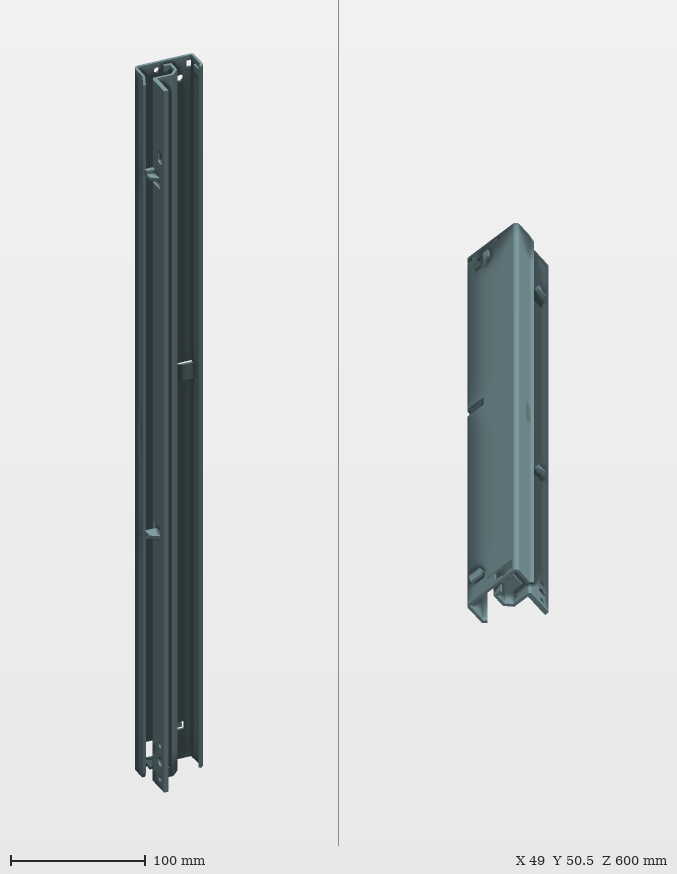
import cadquery as cq
import math

THICKNESS = 2.1
WIDTH = 49.0
DEPTH = 50.5
TOP_Z = 600.0
RAIL_Z = 0.5
MARGIN = 3.0

WALL_X = 5.7
WALL_INNER_X = WALL_X + THICKNESS
FLOOR_Y = 1.5
WEB_X = 29.5
FLANGE_Y = 6.5
FLANGE_THICKNESS = 3.5
FLANGE_TOP_Y = FLANGE_Y + FLANGE_THICKNESS
FLANGE_BEND_RADIUS = 2.5
FLOOR_LIP_X = 22.0
FLOOR_LIP_LENGTH = 3.0
FLOOR_LIP_DROP = 0.9
ROOF_END_X = 24.0
ROOF_LIP = 3.0
FLOOR_BEND_RADIUS = 3.5
ROOF_BEND_RADIUS = 2.5
HOOK_Y = 29.5
HOOK_X = 12.5
HOOK_TIP_Y = 23.0
HOOK_BEVEL = 6.0


def block(x0, x1, y0, y1, z0, z1):
    """Axis-aligned box between two opposite corners."""
    return cq.Workplane("XY").box(x1 - x0, y1 - y0, z1 - z0, centered=False).translate((x0, y0, z0))


def prism(points, z0, z1):
    """XY polygon extruded from z0 to z1."""
    return cq.Workplane("XY").workplane(offset=z0).polyline(points).close().extrude(z1 - z0)


def mitre_point(before, corner, after):
    """Corner of a bent strip's inner face, to the left of the outer path."""
    angle_in = math.atan2(corner[1] - before[1], corner[0] - before[0])
    angle_out = math.atan2(after[1] - corner[1], after[0] - corner[0])
    half_turn = math.remainder(angle_out - angle_in, 2 * math.pi) / 2
    normal = angle_in + half_turn + math.pi / 2
    reach = THICKNESS / math.cos(half_turn)
    return (corner[0] + reach * math.cos(normal), corner[1] + reach * math.sin(normal))


def bent_strip(path):
    """Full-length sheet whose right-hand face follows the path, thickened to the left."""
    extended = [tuple(2 * a - b for a, b in zip(path[0], path[1]))] + path
    extended.append(tuple(2 * a - b for a, b in zip(path[-1], path[-2])))
    inner = [mitre_point(*extended[i:i + 3]) for i in range(len(path))]
    return prism(path + inner[::-1], RAIL_Z, TOP_Z)


def round_upright_edge(body, x, y, radius):
    """Fillet the full-length edge nearest to (x, y)."""
    middle = (x, y, (RAIL_Z + TOP_Z) / 2)
    return body.edges("|Z").edges(cq.selectors.NearestToPointSelector(middle)).fillet(radius)


END_BEVEL_X = 3.5
END_BEVEL_Z = 5.5

EMBOSS_START_X = 17.0
EMBOSS_Z = (270.0, 284.5, 301.0, 315.5)
EMBOSS_DEPTH = 0.5

ROUND_HOLES = [(20.0, 593.5, 2.5), (39.0, 582.0, 3.0)]
END_NOTCH_Y = 44.5
END_NOTCH_Z = (590.0, 596.0)
END_TAB_X = (15.0, 25.0)
END_TAB_Y = 47.0

CLIP_WINDOW_Y = 33.5
CLIP_WINDOW_Z = (326.0, 339.0)
CLIP_X = 9.5
CLIP_BEND_Y = 38.5

UPPER_LANCE_Y = (24.5, 29.5, 35.0)
UPPER_LANCE_Z = (562.0, 573.0)
LANCE_RECESS_Y = (36.0, 42.5)
LANCE_RECESS_Z = (564.5, 570.5)
RECESS_DEPTH = 1.0
LOWER_LANCE_Y = (32.5, 42.5)
LOWER_LANCE_Z = (34.0, 33.0, 29.5, 25.0)
LOWER_TIP_X = 2.0

SHELF_Y = (8.5, 18.5)
SHELF_END_X = 20.5
SHELF_Z = 7.0
SHELF_WINDOW_Y = (6.0, 23.0)
SHELF_WINDOW_TOP = 21.5
SLIT_END_Y = 30.5
SLIT_HEIGHT = 2.0
GUSSET_WIDTH = 7.0
GUSSET_HEIGHT = 4.0
GUSSET_DEPTH = 1.0
GUSSET_REACH = 3.0

NIB_X = (8.0, 9.5)


def outer_sheet():
    """Roof with a lip, wall, and floor with its free edge turned outward."""
    path = [
        (ROOF_END_X + ROOF_LIP, DEPTH - ROOF_LIP),
        (ROOF_END_X, DEPTH),
        (WALL_X, DEPTH),
        (WALL_X, FLOOR_Y),
        (FLOOR_LIP_X, FLOOR_Y),
        (FLOOR_LIP_X + FLOOR_LIP_LENGTH, FLOOR_Y - FLOOR_LIP_DROP),
    ]
    body = bent_strip(path)
    bends = [
        (FLOOR_Y, FLOOR_Y + THICKNESS, FLOOR_BEND_RADIUS),
        (DEPTH, DEPTH - THICKNESS, ROOF_BEND_RADIUS),
    ]
    for outer_y, inner_y, radius in bends:
        body = round_upright_edge(body, WALL_X, outer_y, radius)
        body = round_upright_edge(body, WALL_INNER_X, inner_y, radius - THICKNESS)
    for z in (RAIL_Z, TOP_Z):
        body = body.cut(floor_corner(z))
    return body


def floor_corner(z):
    """Triangular prism that bevels the free corner of the floor at one end."""
    edge_x = FLOOR_LIP_X + FLOOR_LIP_LENGTH + MARGIN
    slope = END_BEVEL_Z / END_BEVEL_X
    inward = math.copysign(1, TOP_Z / 2 - z)
    outline = [
        (edge_x - MARGIN - END_BEVEL_X, z),
        (edge_x, z),
        (edge_x, z + inward * (END_BEVEL_X + MARGIN) * slope),
    ]
    plane = cq.Workplane("XZ", origin=(0, FLANGE_Y, 0))
    return plane.polyline(outline).close().extrude(FLANGE_Y)


def floor_emboss():
    """Shallow dent in the floor with a ramp at each end."""
    outline = list(zip((0, EMBOSS_DEPTH, EMBOSS_DEPTH, 0), EMBOSS_Z))
    length = FLOOR_LIP_X - EMBOSS_START_X
    plane = cq.Workplane("YZ", origin=(EMBOSS_START_X, FLOOR_Y, 0))
    return plane.polyline(outline).close().extrude(length)


def cut_wall(body, y0, y1, z0, z1):
    """Rectangular window through the main wall."""
    return body.cut(block(WALL_X - MARGIN, WALL_INNER_X, y0, y1, z0, z1))


def add_upper_end(body):
    """Round wall holes, and the notched corner with a thickened roof patch."""
    for y, z, radius in ROUND_HOLES:
        plane = cq.Workplane("YZ", origin=(WALL_X, y, z))
        body = body.cut(plane.circle(radius).extrude(THICKNESS))
    body = cut_wall(body, END_NOTCH_Y, DEPTH, *END_NOTCH_Z)
    return body.union(block(*END_TAB_X, END_TAB_Y, DEPTH - THICKNESS, *END_NOTCH_Z))


def add_clip(body):
    """Strip of the wall pressed inward below the roof at mid length."""
    z0, z1 = CLIP_WINDOW_Z
    body = body.cut(block(WALL_X, CLIP_X, CLIP_WINDOW_Y, DEPTH, z0, z1))
    outline = [
        (CLIP_X, DEPTH),
        (CLIP_X, CLIP_BEND_Y),
        (WALL_X, CLIP_WINDOW_Y),
        (WALL_INNER_X, CLIP_WINDOW_Y),
        (CLIP_X + THICKNESS, CLIP_BEND_Y),
        (CLIP_X + THICKNESS, DEPTH),
    ]
    return body.union(prism(outline, z0, z1))


def add_upper_lance(body):
    """Hook pushed out of the wall toward the floor, beside a shallow recess."""
    tip, corner, root = UPPER_LANCE_Y
    outline = [
        (WALL_X, root),
        (0, corner),
        (0, tip),
        (THICKNESS, tip),
        (THICKNESS, corner - THICKNESS),
        (WALL_X, root - 2 * THICKNESS),
    ]
    recess = block(WALL_X, WALL_X + RECESS_DEPTH, *LANCE_RECESS_Y, *LANCE_RECESS_Z)
    return body.cut(recess).union(prism(outline, *UPPER_LANCE_Z))


def add_lower_lance(body):
    """Hook pushed out of the wall and pointing down, above the window it leaves."""
    root, corner, bend, tip = LOWER_LANCE_Z
    outline = [
        (WALL_X, root),
        (0, corner),
        (0, bend),
        (LOWER_TIP_X, tip),
        (LOWER_TIP_X + THICKNESS, tip),
        (THICKNESS, bend),
        (THICKNESS, corner - THICKNESS),
        (WALL_X, root - THICKNESS),
    ]
    y0, y1 = LOWER_LANCE_Y
    plane = cq.Workplane("XZ", origin=(0, y1, 0))
    hook = plane.polyline(outline).close().extrude(y1 - y0)
    return cut_wall(body, y0, y1, tip, root - THICKNESS).union(hook)


def add_shelf(body):
    """Window near the lower end, with a gusseted shelf bent inward from its sill."""
    body = cut_wall(body, *SHELF_WINDOW_Y, SHELF_Z, SHELF_WINDOW_TOP)
    body = cut_wall(body, SHELF_WINDOW_Y[1], SLIT_END_Y, SHELF_WINDOW_TOP - SLIT_HEIGHT, SHELF_WINDOW_TOP)
    body = body.union(block(WALL_X, SHELF_END_X, *SHELF_Y, SHELF_Z - THICKNESS, SHELF_Z))
    middle_y = sum(SHELF_Y) / 2
    left_y = middle_y - GUSSET_WIDTH / 2
    right_y = middle_y + GUSSET_WIDTH / 2
    dent_outline = [(left_y, SHELF_Z), (right_y, SHELF_Z), (middle_y, SHELF_Z - GUSSET_HEIGHT)]
    plane = cq.Workplane("YZ", origin=(WALL_X, 0, 0))
    dent = plane.polyline(dent_outline).close().extrude(GUSSET_DEPTH)
    rib_tip_x = WALL_INNER_X + GUSSET_REACH
    rib_outline = [(WALL_INNER_X, left_y), (rib_tip_x, middle_y), (WALL_INNER_X, right_y)]
    return body.cut(dent).union(prism(rib_outline, SHELF_Z, SHELF_Z + GUSSET_DEPTH))


def make_outer_profile():
    body = outer_sheet().cut(floor_emboss())
    body = add_upper_end(body)
    body = add_clip(body)
    body = add_upper_lance(body)
    body = add_lower_lance(body)
    body = add_shelf(body)
    return body.union(block(*NIB_X, DEPTH - THICKNESS, DEPTH, 0, RAIL_Z))


FLANGE_HOLE_X = 42.0
FLANGE_HOLES = [(38.0, 2.5), (23.5, 3.5), (9.0, 2.5)]
OBLONG_Z = 539.5
OBLONG_WIDTH = 7.0
OBLONG_HEIGHT = 10.0
OBLONG_CORNER = 2.5
SLOT_END_X = 42.0
SLOT_HEIGHT = 7.0
UPPER_SLOT_Z = 512.5
LOWER_SLOT_Z = 216.0
STOP_THICKNESS = 2.5
STOP_FOOT_X = 38.0
STOP_RIB_X = 33.0
STOP_RIB_HEIGHT = 3.0


def flange_openings():
    plane = cq.Workplane("XZ", origin=(FLANGE_HOLE_X, FLANGE_Y - MARGIN, 0))
    reach = -(FLANGE_THICKNESS + 2 * MARGIN)
    oblong = plane.center(0, OBLONG_Z).rect(OBLONG_WIDTH, OBLONG_HEIGHT).extrude(reach)
    cutters = oblong.edges("|Y").fillet(OBLONG_CORNER)
    for height, radius in FLANGE_HOLES:
        cutters = cutters.add(plane.center(0, height).circle(radius).extrude(reach))
    for z in (UPPER_SLOT_Z, LOWER_SLOT_Z):
        slot = block(WEB_X, SLOT_END_X, FLANGE_Y, FLANGE_TOP_Y, z, z + SLOT_HEIGHT)
        cutters = cutters.add(slot)
    return cutters.combine()


def stop_tab(slot_edge_z, direction):
    """Tapered tab under the flange beside a slot, stiffened by a rib on its far side."""
    outer_z = slot_edge_z + direction * STOP_THICKNESS
    rib_z = outer_z + direction * STOP_RIB_HEIGHT
    outline = [(WEB_X, FLANGE_Y), (SLOT_END_X, FLANGE_Y), (STOP_FOOT_X, 0), (WEB_X, 0)]
    tab = prism(outline, min(slot_edge_z, outer_z), max(slot_edge_z, outer_z))
    return tab.union(block(WEB_X, STOP_RIB_X, 0, FLANGE_Y, min(outer_z, rib_z), max(outer_z, rib_z)))


WEB_HOLE_Y = (18.5, 21.0)
WEB_HOLE_Z = (8.5, 11.5)


def make_inner_profile():
    """Hook, sloped shoulder and upright web, bent into the mounting flange."""
    web_inner_x = WEB_X - THICKNESS
    path = [
        (WEB_X, FLANGE_Y),
        (WEB_X, HOOK_Y - HOOK_BEVEL),
        (WEB_X - HOOK_BEVEL, HOOK_Y),
        (HOOK_X, HOOK_Y),
        (HOOK_X, HOOK_TIP_Y),
    ]
    flange = block(web_inner_x, WIDTH, FLANGE_Y, FLANGE_TOP_Y, RAIL_Z, TOP_Z)
    body = bent_strip(path).union(flange)
    body = round_upright_edge(body, web_inner_x, FLANGE_Y, FLANGE_BEND_RADIUS)
    body = body.cut(flange_openings())
    body = body.cut(block(web_inner_x, WEB_X, *WEB_HOLE_Y, *WEB_HOLE_Z))
    body = body.union(stop_tab(UPPER_SLOT_Z + SLOT_HEIGHT, 1))
    return body.union(stop_tab(LOWER_SLOT_Z, -1))


outer_profile = make_outer_profile()
inner_profile = make_inner_profile()

result = cq.Compound.makeCompound([outer_profile.val(), inner_profile.val()])